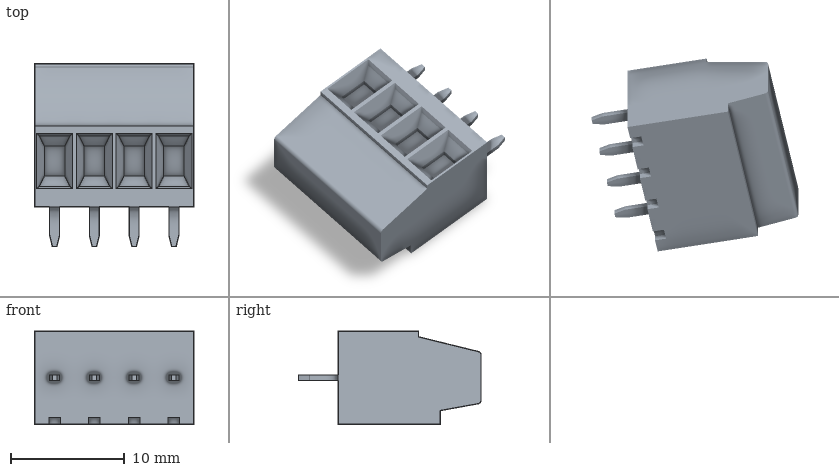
import cadquery as cq

pole_count = 4
pitch = 3.5
body_width = pole_count * pitch
body_depth = 12.6
body_height = 8.2

top_step_y = 7.1
top_step_drop = 0.5
bottom_step_y = 9.0
bottom_step_rise = 1.2
nose_inset = 1.85
nose_radius = 0.35

pin_width = 0.9
pin_thickness = 0.5
pin_length = 3.5
pin_tip_length = 1.0
pin_tip_width = 0.4
pin_z = body_height / 2

pocket_y = 4.03
mouth_width = 3.15
mouth_length = 4.85
throat_width = 1.8
throat_length = 2.65
lead_in_depth = 0.5
lead_in_inset = 0.2
throat_depth = 1.5
well_depth = 2.0

notch_width = 1.0
notch_height = 0.6
notch_depth = 1.0

pole_positions = [(i - (pole_count - 1) / 2) * pitch for i in range(pole_count)]


def housing():
    """Extrude the side profile across the full width and round the two nose edges."""
    profile = [
        (0, 0),
        (bottom_step_y, 0),
        (bottom_step_y, bottom_step_rise),
        (body_depth, nose_inset),
        (body_depth, body_height - nose_inset),
        (top_step_y, body_height - top_step_drop),
        (top_step_y, body_height),
        (0, body_height),
    ]
    block = cq.Workplane("YZ").polyline(profile).close().extrude(body_width / 2, both=True)
    return block.faces(">Y").edges("|X").fillet(nose_radius)


def frustum(x, upper_size, upper_depth, lower_size, lower_depth):
    """Rectangular tapered solid between two depths below the top face."""
    return (
        cq.Workplane("XY", origin=(x, pocket_y, body_height - upper_depth))
        .rect(*upper_size)
        .workplane(offset=upper_depth - lower_depth)
        .rect(*lower_size)
        .loft(ruled=True)
    )


def pocket(x):
    """Funnel whose side walls are single planes and whose end walls break at the lead-in."""
    side_inset = (mouth_width - throat_width) / 2 * lead_in_depth / throat_depth
    mouth = (mouth_width, mouth_length)
    waist = (mouth_width - 2 * side_inset, mouth_length - 2 * lead_in_inset)
    throat = (throat_width, throat_length)
    lead_in = frustum(x, mouth, 0, waist, lead_in_depth)
    funnel = frustum(x, waist, lead_in_depth, throat, throat_depth)
    well = (
        cq.Workplane("XY", origin=(x, pocket_y, body_height - well_depth))
        .rect(*throat)
        .extrude(well_depth - throat_depth)
    )
    return lead_in.union(funnel).union(well)


def notch(x):
    """Blind rectangular notch in the lower front edge."""
    return cq.Workplane("XY", origin=(x, notch_depth / 2, 0)).rect(notch_width, notch_depth).extrude(notch_height)


def pin(x):
    """Flat pin leaving the front face and tapering to a narrow tip."""
    shoulder_y = pin_tip_length - pin_length
    outline = [
        (-pin_width / 2, 0),
        (-pin_width / 2, shoulder_y),
        (-pin_tip_width / 2, -pin_length),
        (pin_tip_width / 2, -pin_length),
        (pin_width / 2, shoulder_y),
        (pin_width / 2, 0),
    ]
    return (
        cq.Workplane("XY", origin=(x, 0, pin_z))
        .polyline(outline)
        .close()
        .extrude(pin_thickness / 2, both=True)
    )


result = housing()
for pole_x in pole_positions:
    result = result.cut(pocket(pole_x)).cut(notch(pole_x)).union(pin(pole_x))